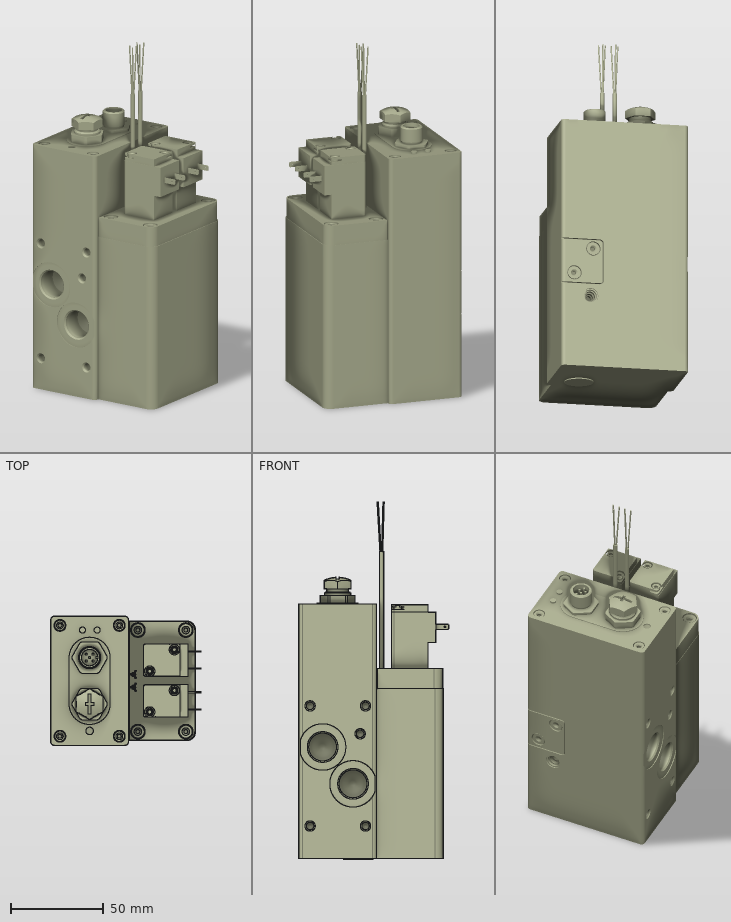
import cadquery as cq
import math


EMBED = 1.0

SCREW_HEAD_DROP = 0.4
SCREW_GAP_DEPTH = 1.4
SCREW_SOCKET_DIA = 2.1
SCREW_SOCKET_DEPTH = 1.5
PLATE_SCREW_DIAS = (8.0, 7.0, 3.7)
LID_SCREW_DIAS = (6.4, 5.6, 3.7)
CAP_SCREW_DIAS = (8.0, 7.0, 4.0)
COIL_SCREW_DIAS = (5.6, 4.0, 2.9)

HOUSING_X = 42.2
HOUSING_Y = 70.0
HOUSING_Z = 137.8
HOUSING_CORNER = 2.1
FRONT_Y = -HOUSING_Y / 2
BACK_Y = HOUSING_Y / 2

FOOT_DIA = 15.9
FOOT_HEIGHT = 0.5
FOOT_X, FOOT_Y = 32.3, 19.0

PORTS = [(13.0, 60.4), (29.5, 40.5)]
PORT_SPOT_DIA = 25.2
PORT_SPOT_DEPTH = 0.4
PORT_DIA = 15.0
PORT_MOUTH_DIA = 16.6
PORT_DEPTH = 12.0
MOUNT_X = (6.2, 36.2)
MOUNT_Z = (17.6, 82.6)
EXTRA_MOUNT = (33.3, 67.5)
MOUNT_DIA = 4.0
MOUNT_MOUTH_DIA = 5.6
MOUNT_DEPTH = 5.8
DRILL_POINT_ANGLE = math.radians(59)

PLATE_Y = 12.2
PLATE_Z = (46.5, 71.0)
PLATE_CORNER = 2.0
PLATE_GROOVE = 0.5
PLATE_GROOVE_DEPTH = 1.5
PLATE_SCREWS = [(17.6, 66.0), (28.0, 52.0)]
SIDE_HOLE = (19.2, 39.5)
SIDE_HOLE_STEPS = [(8.5, 0.5), (7.0, 2.0), (5.6, 3.9), (4.0, 5.8), (2.5, 7.7)]

LID_SCREW_X = (5.0, 37.2)
LID_SCREW_Y = 30.0
INDICATORS = [(17.2, 27.5), (25.2, 27.5)]
INDICATOR_DIA = 3.3
INDICATOR_HEIGHT = 1.0
VENT = (21.0, -27.0)
VENT_DIA = 4.0
VENT_DEPTH = 0.5

PAD_X = 21.0
PAD_LENGTH = 47.2
PAD_WIDTH = 22.3
PAD_HEIGHT = 0.4
PAD_TOP = HOUSING_Z + PAD_HEIGHT
FITTING_Y = 12.5
NUT_FLATS = 17.0
NUT_TURNED_DIA = 19.0

SOCKET_NUT_HEIGHT = 1.5
SOCKET_NECK_DIA = 11.0
SOCKET_NECK_TOP = 140.9
SOCKET_DIA = 12.0
SOCKET_TOP = 148.8
SOCKET_EDGE = 0.5
SOCKET_BORE_DIA = 8.9
SOCKET_BORE_DEPTH = 6.8
SOCKET_KEY = 1.0
CONTACT_DIA = 1.1
CONTACT_HEIGHT = 4.8
CONTACT_SPACING = 3.7

PLUG_NUT_HEIGHT = 4.3
PLUG_COLLAR_DIA = 14.3
PLUG_COLLAR_TOP = 144.4
PLUG_COLLAR_CHAMFER = 0.8
PLUG_NECK_DIA = 12.0
PLUG_HEAD_FLATS = 14.5
PLUG_HEAD_Z = (146.0, 152.3)
PLUG_DOME_RADIUS = 16.0
SLOT_WIDTH = 1.7
SLOT_LENGTH = 10.8
SLOT_CROSS_LENGTH = 4.6
SLOT_FLOOR_Z = 150.4

VALVE_END_X = 78.4
VALVE_Y = 64.6
VALVE_Z = 92.0
VALVE_CORNER = 4.6
CAP_SETBACK = 0.4
CAP_Y = 64.2
CAP_TOP = 103.0
CAP_START_X = HOUSING_X + CAP_SETBACK
CAP_END_X = VALVE_END_X - CAP_SETBACK
CAP_SCREW_X = (47.2, 73.2)
CAP_SCREW_Y = 27.5

CABLE_X = 44.9
CABLE_Y = 3.5
JACKET_DIA = 2.3
JACKET_TOP = 166.0
WIRE_DIA = 0.8
WIRE_COUNT = 3
WIRE_ROOT_RADIUS = 0.5
WIRE_TIP_RADIUS = 2.1
OVERALL_Z = 193.5
WIRE_TOP = OVERALL_Z - FOOT_HEIGHT

COIL_X = 50.1
COIL_LENGTH = 20.0
COIL_Y = 17.6
COIL_CENTRES_Y = (11.2, -10.8)
COIL_TOP = 137.4
COIL_CORNER = 1.4
COIL_LID_BOTTOM = 133.3
COIL_LID_SETBACK = 0.2
CONNECTOR_END_X = 74.3
CONNECTOR_BOTTOM = 116.9
TERMINAL_END_X = 81.3
TERMINAL_WIDTH = 2.9
TERMINAL_THICKNESS = 0.5
TERMINAL_Z = 125.4
TERMINAL_Y = 4.6
TERMINAL_CHAMFER = 0.5
TERMINAL_HOLE_DIA = 0.7
TERMINAL_HOLE_INSET = 2.1
COIL_SCREWS = [(53.6, -6.0), (67.0, 5.6)]
COIL_SCREW_RELIEF_DIA = 8.0
COIL_SCREW_RELIEF_Z = (134.9, 136.2)


def cylinder(x, y, bottom, top, diameter):
    return cq.Workplane("XY", origin=(x, y, bottom)).circle(diameter / 2).extrude(top - bottom)


def block(x_range, y_range, z_range):
    size = [end - start for start, end in (x_range, y_range, z_range)]
    corner = (x_range[0], y_range[0], z_range[0])
    return cq.Workplane("XY", origin=corner).box(*size, centered=False)


def hexagon(x, y, bottom, top, flats, corners_on_x=True):
    outline = cq.Workplane("XY", origin=(x, y, bottom)).polygon(6, flats / math.cos(math.pi / 6))
    prism = outline.extrude(top - bottom)
    if corners_on_x:
        return prism
    return prism.rotate((x, y, 0), (x, y, 1), 30)


def turned_nut(x, y, bottom, top):
    """Hexagon nut whose corners are cut back by turning."""
    return hexagon(x, y, bottom, top, NUT_FLATS).intersect(cylinder(x, y, bottom, top, NUT_TURNED_DIA))


def countersunk_hole(diameter, mouth_dia, depth, pointed=True):
    """Cutter below Z = 0 for a countersunk blind hole with a drill point or a flat floor."""
    radius, mouth = diameter / 2, mouth_dia / 2
    point = radius / math.tan(DRILL_POINT_ANGLE) if pointed else 0
    half = [(0, 0), (mouth, 0), (radius, radius - mouth), (radius, -depth), (0, -depth - point)]
    return cq.Workplane("XZ").polyline(half).close().revolve(360, (0, 0, 0), (0, 1, 0))


def sunk_screw(recess_dia, head_dia, socket_mouth_dia):
    """Cutter below Z = 0 around a sunk screw: a ring gap, a lowered head and a countersunk socket."""
    gap = cylinder(0, 0, -SCREW_GAP_DEPTH, 0, recess_dia)
    head = cylinder(0, 0, -SCREW_GAP_DEPTH, -SCREW_HEAD_DROP, head_dia)
    socket = countersunk_hole(SCREW_SOCKET_DIA, socket_mouth_dia, SCREW_SOCKET_DEPTH, pointed=False)
    return gap.cut(head).union(socket.translate((0, 0, -SCREW_HEAD_DROP)))


def on_front(cutter, x, z, y=FRONT_Y):
    """Turn a cutter made below Z = 0 so that it goes into the front face."""
    return cutter.rotate((0, 0, 0), (1, 0, 0), 90).translate((x, y, z))


def on_side(cutter, y, z):
    """Turn a cutter made below Z = 0 so that it goes into the -X face."""
    return cutter.rotate((0, 0, 0), (0, 1, 0), -90).translate((0, y, z))


def cut_front(body):
    spot = cylinder(0, 0, -PORT_SPOT_DEPTH, 0, PORT_SPOT_DIA)
    port = countersunk_hole(PORT_DIA, PORT_MOUTH_DIA, PORT_DEPTH)
    for x, z in PORTS:
        body = body.cut(on_front(spot, x, z))
        body = body.cut(on_front(port, x, z, FRONT_Y + PORT_SPOT_DEPTH))
    mount = countersunk_hole(MOUNT_DIA, MOUNT_MOUTH_DIA, MOUNT_DEPTH)
    for x, z in [(x, z) for x in MOUNT_X for z in MOUNT_Z] + [EXTRA_MOUNT]:
        body = body.cut(on_front(mount, x, z))
    return body


def plate_prism(margin):
    """Plate outline on the -X face, grown by a margin, running out past the +Y side."""
    low, high = PLATE_Z
    start = PLATE_Y - margin
    bar = block((0, PLATE_GROOVE_DEPTH), (start, BACK_Y + EMBED), (low - margin, high + margin))
    return bar.edges("|X and <Y").fillet(PLATE_CORNER + margin)


def cut_side(body):
    body = body.cut(plate_prism(PLATE_GROOVE / 2).cut(plate_prism(-PLATE_GROOVE / 2)))
    screw = sunk_screw(*PLATE_SCREW_DIAS)
    for y, z in PLATE_SCREWS:
        body = body.cut(on_side(screw, y, z))
    for diameter, depth in SIDE_HOLE_STEPS:
        body = body.cut(on_side(cylinder(0, 0, -depth, 0, diameter), *SIDE_HOLE))
    return body


def cut_top(body):
    screw = sunk_screw(*LID_SCREW_DIAS)
    for x in LID_SCREW_X:
        for y in (-LID_SCREW_Y, LID_SCREW_Y):
            body = body.cut(screw.translate((x, y, HOUSING_Z)))
    return body.cut(cylinder(*VENT, HOUSING_Z - VENT_DEPTH, HOUSING_Z, VENT_DIA))


def make_socket():
    """Round connector with a nut, a bore with a key and five contacts."""
    x, y = PAD_X, FITTING_Y
    floor = SOCKET_TOP - SOCKET_BORE_DEPTH
    barrel = cylinder(x, y, SOCKET_NECK_TOP, SOCKET_TOP, SOCKET_DIA).faces(">Z").edges().chamfer(SOCKET_EDGE)
    barrel = barrel.union(cylinder(x, y, HOUSING_Z, SOCKET_NECK_TOP, SOCKET_NECK_DIA))
    barrel = barrel.union(turned_nut(x, y, HOUSING_Z, PAD_TOP + SOCKET_NUT_HEIGHT))
    barrel = barrel.cut(cylinder(x, y, floor, SOCKET_TOP, SOCKET_BORE_DIA))
    key_end = x + SOCKET_BORE_DIA / 2 + SOCKET_EDGE
    key_start = x + SOCKET_BORE_DIA / 2 - SOCKET_KEY
    key_sides = (y - SOCKET_KEY / 2, y + SOCKET_KEY / 2)
    barrel = barrel.union(block((key_start, key_end), key_sides, (floor, floor + CONTACT_HEIGHT)))
    offsets = (-CONTACT_SPACING / 2, CONTACT_SPACING / 2)
    for dx, dy in [(0, 0)] + [(dx, dy) for dx in offsets for dy in offsets]:
        contact = cylinder(x + dx, y + dy, floor - EMBED, floor + CONTACT_HEIGHT, CONTACT_DIA)
        barrel = barrel.union(contact)
    return barrel


def make_plug():
    """Closing plug: nut, collar, neck and a domed hexagon head with a cross slot."""
    x, y = PAD_X, -FITTING_Y
    nut_top = PAD_TOP + PLUG_NUT_HEIGHT
    head_bottom, head_top = PLUG_HEAD_Z
    plug = turned_nut(x, y, HOUSING_Z, nut_top)
    collar = cylinder(x, y, nut_top, PLUG_COLLAR_TOP, PLUG_COLLAR_DIA)
    plug = plug.union(collar.faces(">Z").edges().chamfer(PLUG_COLLAR_CHAMFER))
    plug = plug.union(cylinder(x, y, nut_top, head_bottom, PLUG_NECK_DIA))
    head = hexagon(x, y, head_bottom, head_top, PLUG_HEAD_FLATS, corners_on_x=False)
    dome = cq.Workplane("XY", origin=(x, y, head_top - PLUG_DOME_RADIUS)).sphere(PLUG_DOME_RADIUS)
    plug = plug.union(head.intersect(dome))
    for size_x, size_y in [(SLOT_WIDTH, SLOT_LENGTH), (SLOT_CROSS_LENGTH, SLOT_WIDTH)]:
        x_range = (x - size_x / 2, x + size_x / 2)
        y_range = (y - size_y / 2, y + size_y / 2)
        plug = plug.cut(block(x_range, y_range, (SLOT_FLOOR_Z, head_top)))
    return plug


def make_housing():
    body = block((0, HOUSING_X), (FRONT_Y, BACK_Y), (0, HOUSING_Z)).edges("|Z").fillet(HOUSING_CORNER)
    body = cut_top(cut_side(cut_front(body)))
    body = body.union(cylinder(FOOT_X, FOOT_Y, -FOOT_HEIGHT, EMBED, FOOT_DIA))
    pad = cq.Workplane("XY", origin=(PAD_X, 0, HOUSING_Z - EMBED)).slot2D(PAD_LENGTH, PAD_WIDTH, 90)
    body = body.union(pad.extrude(PAD_HEIGHT + EMBED))
    for x, y in INDICATORS:
        body = body.union(cylinder(x, y, HOUSING_Z - EMBED, HOUSING_Z + INDICATOR_HEIGHT, INDICATOR_DIA))
    return body.union(make_socket()).union(make_plug())


def make_valve_body():
    body = block((HOUSING_X, VALVE_END_X), (-VALVE_Y / 2, VALVE_Y / 2), (0, VALVE_Z))
    return body.edges("|Z and >X").fillet(VALVE_CORNER)


def make_cable(y):
    cable = cylinder(CABLE_X, y, CAP_TOP - EMBED, JACKET_TOP, JACKET_DIA)
    for i in range(WIRE_COUNT):
        angle = math.pi + 2 * math.pi * i / WIRE_COUNT
        run = WIRE_TIP_RADIUS - WIRE_ROOT_RADIUS
        root = (CABLE_X + WIRE_ROOT_RADIUS * math.cos(angle), y + WIRE_ROOT_RADIUS * math.sin(angle))
        wire = (
            cq.Workplane("XY", origin=(*root, JACKET_TOP))
            .circle(WIRE_DIA / 2)
            .workplane(offset=WIRE_TOP - JACKET_TOP)
            .center(run * math.cos(angle), run * math.sin(angle))
            .circle(WIRE_DIA / 2)
            .loft(ruled=True)
        )
        cable = cable.union(wire)
    return cable


def make_cap():
    cap = block((CAP_START_X, CAP_END_X), (-CAP_Y / 2, CAP_Y / 2), (VALVE_Z, CAP_TOP))
    cap = cap.edges("|Z and >X").fillet(VALVE_CORNER)
    screw = sunk_screw(*CAP_SCREW_DIAS)
    for x in CAP_SCREW_X:
        for y in (-CAP_SCREW_Y, CAP_SCREW_Y):
            cap = cap.cut(screw.translate((x, y, CAP_TOP)))
    for y in (-CABLE_Y, CABLE_Y):
        cap = cap.union(make_cable(y))
    return cap


def make_terminal(y):
    z_range = (TERMINAL_Z - TERMINAL_WIDTH / 2, TERMINAL_Z + TERMINAL_WIDTH / 2)
    y_range = (y - TERMINAL_THICKNESS / 2, y + TERMINAL_THICKNESS / 2)
    blade = block((CONNECTOR_END_X - EMBED, TERMINAL_END_X), y_range, z_range)
    blade = blade.edges("|Y and >X").chamfer(TERMINAL_CHAMFER)
    hole = cylinder(0, 0, -TERMINAL_THICKNESS, 0, TERMINAL_HOLE_DIA)
    return blade.cut(on_front(hole, TERMINAL_END_X - TERMINAL_HOLE_INSET, TERMINAL_Z, y_range[0]))


def make_coil(centre_y):
    sides = (centre_y - COIL_Y / 2, centre_y + COIL_Y / 2)
    lid_sides = (sides[0] + COIL_LID_SETBACK, sides[1] - COIL_LID_SETBACK)
    end_x = COIL_X + COIL_LENGTH
    coil = block((COIL_X, end_x), sides, (CAP_TOP, COIL_LID_BOTTOM))
    coil = coil.edges("|Z and <X").fillet(COIL_CORNER)
    lid = block((COIL_X, end_x), lid_sides, (COIL_LID_BOTTOM, COIL_TOP))
    lid = lid.edges("|Z and <X").fillet(COIL_CORNER)
    connector = block((end_x - EMBED, CONNECTOR_END_X), sides, (CONNECTOR_BOTTOM, COIL_LID_BOTTOM))
    coil = coil.union(lid).union(connector)
    screw = sunk_screw(*COIL_SCREW_DIAS)
    for x, offset in COIL_SCREWS:
        y = centre_y + offset
        relief = cylinder(x, y, *COIL_SCREW_RELIEF_Z, COIL_SCREW_RELIEF_DIA)
        head = cylinder(x, y, *COIL_SCREW_RELIEF_Z, COIL_SCREW_DIAS[1])
        coil = coil.cut(relief.cut(head)).cut(screw.translate((x, y, COIL_TOP)))
    for y in (centre_y - TERMINAL_Y, centre_y + TERMINAL_Y):
        coil = coil.union(make_terminal(y))
    return coil


housing = make_housing()
valve_body = make_valve_body()
cap = make_cap()
coils = [make_coil(centre_y) for centre_y in COIL_CENTRES_Y]

result = cq.Compound.makeCompound(
    [
        housing.val(),
        valve_body.val(),
        cap.val(),
        *[coil.val() for coil in coils],
    ]
)